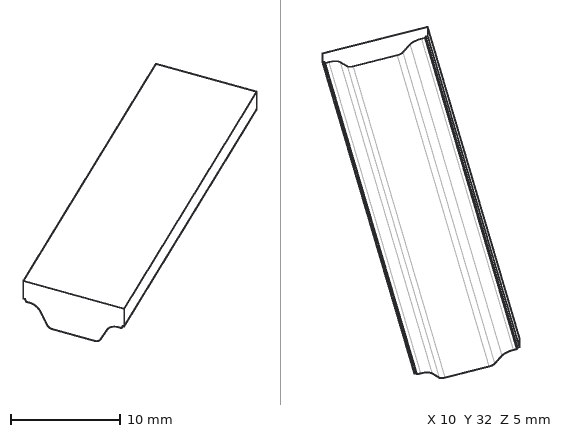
import cadquery as cq
import math

width = 10.0
length = 32.0
height = 5.0

flange_thickness = 2.5
side_height = 2.2
relief_depth = 0.18
relief_draft = 15.0

rail_bottom_width = 4.95
flank_angle = 25.0
root_radius = 1.2
toe_radius = 0.6

half_width = width / 2
flange_bottom = height - flange_thickness
side_bottom = height - side_height
relief_top_x = half_width - relief_depth
relief_bottom_x = relief_top_x - (side_bottom - flange_bottom) * math.tan(math.radians(relief_draft))
toe_x = rail_bottom_width / 2
root_x = toe_x + flange_bottom * math.tan(math.radians(flank_angle))


def sharp_bar():
    """Mirror-symmetric profile with sharp corners, extruded along Y and centred."""
    right_half = [
        (0, height),
        (half_width, height),
        (half_width, side_bottom),
        (relief_top_x, side_bottom),
        (relief_bottom_x, flange_bottom),
        (root_x, flange_bottom),
        (toe_x, 0),
        (0, 0),
    ]
    half_bar = cq.Workplane("XZ").polyline(right_half).close().extrude(length / 2, both=True)
    return half_bar.union(half_bar.mirror("YZ")).clean()


def round_edges(bar, x, z, radius):
    """Round the two lengthwise edges that pass through (+x, z) and (-x, z)."""
    for side in (-1, 1):
        bar = bar.edges(cq.NearestToPointSelector((side * x, 0, z))).fillet(radius)
    return bar


result = sharp_bar()
result = round_edges(result, root_x, flange_bottom, root_radius)
result = round_edges(result, toe_x, 0, toe_radius)